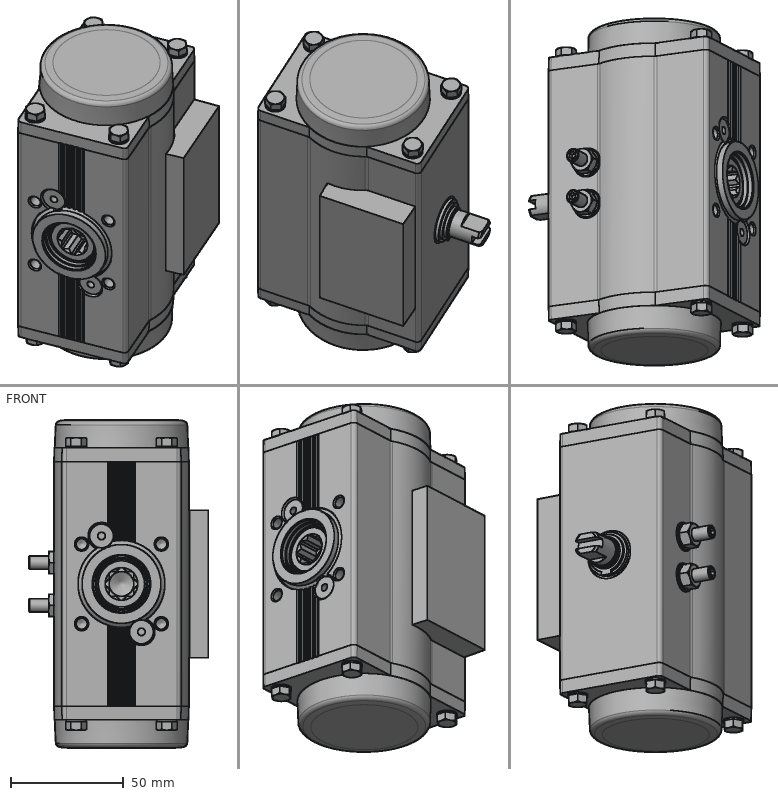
import cadquery as cq
import math


HOUSING_WIDTH = 53.0
HOUSING_DEPTH = 80.0
HOUSING_LENGTH = 108.6
CYLINDER_DIAMETER = 60.0
CORNER_RADIUS = 2.0
BLEND_RADIUS = 3.4

CAP_PLATE = 6.1
CAP_DRAFT = 1.5
DOME_BASE_RADIUS = 29.7
DOME_SHOULDER_RADIUS = 29.3
DOME_RIM_RADIUS = 27.3
DOME_FLAT_RADIUS = 23.8
DOME_SHOULDER_Z = 70.65
DOME_RIM_Z = 72.5
DOME_TOP_Z = 72.85

BOLT_X = 20.1
BOLT_Y = 33.7
BOLT_FLANGE_DIAMETER = 9.0
BOLT_FLANGE_HEIGHT = 0.8
BOLT_HEX_FLATS = 8.0
BOLT_HEX_HEIGHT = 3.7

RING_DIAMETER = 35.0
RING_HEIGHT = 3.0
RING_GROOVE_DIAMETER = 38.6
RING_GROOVE_DEPTH = 1.8
RING_BORE_DIAMETER = 25.0
RING_BORE_DEPTH = 2.5
SEAT_DIAMETER = 23.4
SEAT_DEPTH = 4.5
RING_BORE_CHAMFER = 0.5

MOUNT_SPACING = 50.0 / math.sqrt(2)
MOUNT_DIAMETER = 4.92
MOUNT_MOUTH_DIAMETER = 6.2
MOUNT_DEPTH = 10.0

PORT_X = 8.86
PORT_Z = 21.3
PORT_MOUTH_DIAMETER = 12.0
PORT_FLOOR_DIAMETER = 10.57
PORT_RECESS_DEPTH = 0.8
PORT_HOLE_DIAMETER = 3.3
PORT_HOLE_DEPTH = 8.0
DRILL_POINT_ANGLE = 118.0

GROOVE_COUNT = 5
GROOVE_PITCH = 2.6
GROOVE_STEP = GROOVE_PITCH / 4
GROOVE_DEPTH = 0.6

JOURNAL_DIAMETER = 22.0
NOSE_DIAMETER = 20.5
NOSE_LENGTH = 1.0
NOSE_RECESS = 4.0
DRIVE_FLATS = 11.0
DRIVE_CORNER_DIAMETER = 14.5
DRIVE_DEPTH = 12.0
DRIVE_MOUTH_DEPTH = (DRIVE_CORNER_DIAMETER - DRIVE_FLATS) / 2
DRIVE_DRILL_DIAMETER = 11.0
COLLAR_DIAMETER = 14.5
COLLAR_END_Y = 44.2
NECK_DIAMETER = 13.0
NECK_END_Y = 45.0
STEM_DIAMETER = 12.6
STEM_END_Y = 60.0
STEM_CHAMFER = 1.0
STEM_FLATS = 9.0
STEM_FLATS_START_Y = 50.1
SLOT_WIDTH = 4.0
SLOT_DEPTH = 3.8

THRUST_WASHER_DIAMETER = 20.0
THRUST_WASHER_THICKNESS = 1.6
CIRCLIP_DIAMETER = 17.3
CIRCLIP_THICKNESS = 1.2
CIRCLIP_GROOVE_DIAMETER = 13.0
CIRCLIP_LUG_WIDTH = 5.0

STOP_Y = 19.8
STOP_Z = 9.5
STOP_END_X = -41.2
STOP_DIAMETER = 6.0
STOP_CHAMFER = 0.5
STOP_SOCKET_FLATS = 3.0
STOP_SOCKET_DEPTH = 3.0
STOP_NUT_FLATS = 10.0
STOP_NUT_OUTER_X = -32.3
STOP_WASHER_DIAMETER = 13.0
STOP_WASHER_THICKNESS = 0.7
STOP_WASHER_CHAMFER = 0.4

BLOCK_OUTER_X = 38.57
BLOCK_MIN_Y = -3.5
BLOCK_MAX_Y = 38.0
BLOCK_LENGTH = 65.6
BLOCK_DRAFT = 1.5
BLOCK_CLEARANCE = 0.3

half_width = HOUSING_WIDTH / 2
front_y = -HOUSING_DEPTH / 2
back_y = HOUSING_DEPTH / 2
ring_end_y = front_y - RING_HEIGHT
bore_step_y = ring_end_y + RING_BORE_DEPTH
seat_floor_y = ring_end_y + SEAT_DEPTH
nose_y = ring_end_y + NOSE_RECESS
cylinder_radius = CYLINDER_DIAMETER / 2
cap_joint_z = HOUSING_LENGTH / 2
cap_face_z = cap_joint_z + CAP_PLATE
washer_end_y = back_y + THRUST_WASHER_THICKNESS
circlip_end_y = washer_end_y + CIRCLIP_THICKNESS


def disc_y(diameter, start_y, end_y, x=0, z=0):
    """Cylinder along Y between two Y positions."""
    plane = cq.Plane(origin=(x, start_y, z), xDir=(1, 0, 0), normal=(0, 1, 0))
    return cq.Workplane(plane).circle(diameter / 2).extrude(end_y - start_y)


def cone_y(start_diameter, end_diameter, start_y, end_y, x=0, z=0):
    """Cone or frustum along Y."""
    return cq.Workplane(cq.Solid.makeCone(
        start_diameter / 2, end_diameter / 2, end_y - start_y, cq.Vector(x, start_y, z), cq.Vector(0, 1, 0)))


def drill_y(diameter, start_y, depth, x=0, z=0):
    """Blind hole going in +Y, with a conical drill point."""
    point = diameter / 2 / math.tan(math.radians(DRILL_POINT_ANGLE / 2))
    end_y = start_y + depth
    hole = disc_y(diameter, start_y, end_y, x, z)
    return hole.union(cone_y(diameter, 0, end_y, end_y + point, x, z))


def hexagon(flats, height, rotation=0):
    """Hexagonal prism standing on Z = 0, with a corner on the X axis."""
    corner_diameter = flats / math.cos(math.radians(30))
    prism = cq.Workplane("XY").polygon(6, corner_diameter).extrude(height)
    return prism.rotate((0, 0, 0), (0, 0, 1), rotation)


def crowned_hexagon(flats, height, both_ends, rotation=0):
    """Hexagonal prism whose corners are turned off by a 30 degree cone."""
    corner_radius = flats / 2 / math.cos(math.radians(30))
    drop = (corner_radius - flats / 2) * math.tan(math.radians(30))
    outline = [(0, 0)]
    if both_ends:
        outline += [(flats / 2, 0), (corner_radius, drop)]
    else:
        outline += [(corner_radius, 0)]
    outline += [(corner_radius, height - drop), (flats / 2, height), (0, height)]
    envelope = cq.Workplane("XZ").polyline(outline).close().revolve(360, (0, 0), (0, 1))
    return hexagon(flats, height, rotation).intersect(envelope)


def profile_prism(start_z, length, draft=0):
    """Rectangle with rounded corners joined to the cylinder, narrowing upwards by the draft angle."""
    rounded = cq.Sketch().rect(HOUSING_WIDTH, HOUSING_DEPTH).vertices().fillet(CORNER_RADIUS)
    base = cq.Workplane("XY").workplane(offset=start_z)
    block = base.placeSketch(rounded).extrude(length, taper=draft)
    barrel = base.circle(cylinder_radius).extrude(length, taper=draft)
    return block.union(barrel)


def blend_edges(body):
    """Round the four inner edges between the cylinder and the flat sides."""
    edge_y = math.sqrt(cylinder_radius ** 2 - half_width ** 2)
    for side_x in (-half_width, half_width):
        for side_y in (-edge_y, edge_y):
            body = body.edges(cq.NearestToPointSelector((side_x, side_y, 0))).fillet(BLEND_RADIUS)
    return body


def front_grooves():
    """Trapezoidal grooves along the middle of the front face."""
    strip_start = -GROOVE_COUNT * GROOVE_PITCH / 2
    floor_y = front_y + GROOVE_DEPTH
    grooves = cq.Workplane("XY")
    for index in range(GROOVE_COUNT):
        start_x = strip_start + index * GROOVE_PITCH + GROOVE_STEP / 2
        groove = (
            cq.Workplane("XY").workplane(offset=-cap_joint_z)
            .moveTo(start_x, front_y)
            .lineTo(start_x + GROOVE_STEP, floor_y)
            .lineTo(start_x + 2 * GROOVE_STEP, floor_y)
            .lineTo(start_x + 3 * GROOVE_STEP, front_y)
            .close().extrude(HOUSING_LENGTH)
        )
        grooves = grooves.add(groove)
    return grooves


def make_housing():
    body = blend_edges(profile_prism(-cap_joint_z, HOUSING_LENGTH))
    for groove in front_grooves().vals():
        body = body.cut(cq.Workplane(groove))

    groove_floor_y = front_y + RING_GROOVE_DEPTH
    body = body.cut(disc_y(RING_GROOVE_DIAMETER, front_y, groove_floor_y))
    body = body.union(cone_y(RING_DIAMETER, RING_GROOVE_DIAMETER, front_y, groove_floor_y))
    body = body.union(disc_y(RING_DIAMETER, ring_end_y, front_y))
    body = body.cut(disc_y(RING_BORE_DIAMETER, ring_end_y, bore_step_y))
    body = body.cut(disc_y(SEAT_DIAMETER, bore_step_y, seat_floor_y))
    mouth_diameter = RING_BORE_DIAMETER + 2 * RING_BORE_CHAMFER
    body = body.cut(cone_y(mouth_diameter, RING_BORE_DIAMETER, ring_end_y, ring_end_y + RING_BORE_CHAMFER))
    body = body.cut(disc_y(JOURNAL_DIAMETER, seat_floor_y, back_y))

    mouth_depth = (MOUNT_MOUTH_DIAMETER - MOUNT_DIAMETER) / 2
    for x in (-MOUNT_SPACING / 2, MOUNT_SPACING / 2):
        for z in (-MOUNT_SPACING / 2, MOUNT_SPACING / 2):
            body = body.cut(drill_y(MOUNT_DIAMETER, front_y, MOUNT_DEPTH, x, z))
            body = body.cut(cone_y(MOUNT_MOUTH_DIAMETER, MOUNT_DIAMETER, front_y, front_y + mouth_depth, x, z))

    recess_y = front_y + PORT_RECESS_DEPTH
    for x, z in ((-PORT_X, PORT_Z), (PORT_X, -PORT_Z)):
        body = body.cut(cone_y(PORT_MOUTH_DIAMETER, PORT_FLOOR_DIAMETER, front_y, recess_y, x, z))
        body = body.union(disc_y(PORT_FLOOR_DIAMETER, recess_y, recess_y + RING_GROOVE_DEPTH, x, z))
        body = body.cut(disc_y(PORT_HOLE_DIAMETER, recess_y, recess_y + PORT_HOLE_DEPTH, x, z))
    return body


def make_top_cap():
    cap = profile_prism(cap_joint_z, CAP_PLATE, CAP_DRAFT)
    dome = (
        cq.Workplane("XZ")
        .moveTo(0, cap_face_z)
        .lineTo(0, DOME_TOP_Z)
        .lineTo(DOME_FLAT_RADIUS, DOME_TOP_Z)
        .tangentArcPoint((DOME_RIM_RADIUS, DOME_RIM_Z), relative=False)
        .tangentArcPoint((DOME_SHOULDER_RADIUS, DOME_SHOULDER_Z), relative=False)
        .lineTo(DOME_BASE_RADIUS, cap_face_z)
        .close().revolve(360, (0, 0), (0, 1))
    )
    cap = cap.union(dome)
    flange = cq.Workplane("XY").circle(BOLT_FLANGE_DIAMETER / 2).extrude(BOLT_FLANGE_HEIGHT)
    hex_part = crowned_hexagon(BOLT_HEX_FLATS, BOLT_HEX_HEIGHT, False)
    bolt_head = flange.union(hex_part.translate((0, 0, BOLT_FLANGE_HEIGHT)))
    for x in (-BOLT_X, BOLT_X):
        for y in (-BOLT_Y, BOLT_Y):
            cap = cap.union(bolt_head.translate((x, y, cap_face_z)))
    return cap


def drive_socket():
    """Double-square socket with its corners trimmed round, a conical mouth and a drill point at its end."""
    end_y = nose_y + DRIVE_DEPTH
    square = cq.Workplane("XY").box(DRIVE_FLATS, DRIVE_DEPTH, DRIVE_FLATS)
    star = square.union(square.rotate((0, 0, 0), (0, 1, 0), 45))
    star = star.translate((0, nose_y + DRIVE_DEPTH / 2, 0))
    star = star.intersect(disc_y(DRIVE_CORNER_DIAMETER, nose_y, end_y))
    mouth = cone_y(DRIVE_CORNER_DIAMETER, DRIVE_FLATS, nose_y, nose_y + DRIVE_MOUTH_DEPTH)
    return star.union(mouth).union(drill_y(DRIVE_DRILL_DIAMETER, nose_y, DRIVE_DEPTH))


def make_shaft():
    shaft = disc_y(NOSE_DIAMETER, nose_y, nose_y + NOSE_LENGTH)
    shaft = shaft.union(disc_y(JOURNAL_DIAMETER, nose_y + NOSE_LENGTH, back_y))
    shaft = shaft.union(disc_y(COLLAR_DIAMETER, back_y, washer_end_y))
    shaft = shaft.union(disc_y(CIRCLIP_GROOVE_DIAMETER, washer_end_y, circlip_end_y))
    shaft = shaft.union(disc_y(COLLAR_DIAMETER, circlip_end_y, COLLAR_END_Y))
    shaft = shaft.union(disc_y(NECK_DIAMETER, COLLAR_END_Y, NECK_END_Y))
    stem = disc_y(STEM_DIAMETER, NECK_END_Y, STEM_END_Y).faces(">Y").chamfer(STEM_CHAMFER)

    flats_length = STEM_END_Y - STEM_FLATS_START_Y
    for side in (-1, 1):
        cutter = cq.Workplane("XY").box(STEM_DIAMETER, flats_length, STEM_DIAMETER)
        offset_z = side * (STEM_FLATS + STEM_DIAMETER) / 2
        stem = stem.cut(cutter.translate((0, STEM_FLATS_START_Y + flats_length / 2, offset_z)))
    slot = cq.Workplane("XY").box(STEM_DIAMETER, SLOT_DEPTH, SLOT_WIDTH)
    stem = stem.cut(slot.translate((0, STEM_END_Y - SLOT_DEPTH / 2, 0)))
    return shaft.union(stem).cut(drive_socket())


def make_thrust_washer():
    washer = disc_y(THRUST_WASHER_DIAMETER, back_y, washer_end_y)
    return washer.cut(disc_y(COLLAR_DIAMETER, back_y, washer_end_y))


def make_circlip():
    """Ring in the shaft's groove, with a lug pointing to -Z."""
    lug_reach = THRUST_WASHER_DIAMETER / 2
    lug = cq.Workplane("XY").box(CIRCLIP_LUG_WIDTH, CIRCLIP_THICKNESS, lug_reach)
    lug = lug.translate((0, washer_end_y + CIRCLIP_THICKNESS / 2, -lug_reach / 2))
    ring = disc_y(CIRCLIP_DIAMETER, washer_end_y, circlip_end_y).union(lug)
    return ring.cut(disc_y(CIRCLIP_GROOVE_DIAMETER, washer_end_y, circlip_end_y))


def make_stop_screw(z, housing):
    """Built along +Z from the housing side, then laid along -X."""
    nut_end = -half_width - STOP_NUT_OUTER_X
    screw_end = -half_width - STOP_END_X
    nut_height = nut_end - STOP_WASHER_THICKNESS
    screw = cq.Workplane("XY").circle(STOP_DIAMETER / 2).extrude(screw_end).faces(">Z").chamfer(STOP_CHAMFER)
    socket = hexagon(STOP_SOCKET_FLATS, STOP_SOCKET_DEPTH)
    screw = screw.cut(socket.translate((0, 0, screw_end - STOP_SOCKET_DEPTH)))
    washer = cq.Workplane("XY").circle(STOP_WASHER_DIAMETER / 2).extrude(STOP_WASHER_THICKNESS)
    washer = washer.faces(">Z").chamfer(STOP_WASHER_CHAMFER)
    nut = crowned_hexagon(STOP_NUT_FLATS, nut_height, True, 90)
    stop = screw.union(washer).union(nut.translate((0, 0, STOP_WASHER_THICKNESS)))
    stop = stop.rotate((0, 0, 0), (0, 1, 0), -90).translate((-half_width, STOP_Y, z))
    return stop.cut(housing)


def make_side_block(housing):
    """Block tapered in Y, seated on the flat side and relieved around the cylinder."""
    rise = math.tan(math.radians(BLOCK_DRAFT)) * (BLOCK_OUTER_X - half_width)
    block = (
        cq.Workplane("XY").workplane(offset=-BLOCK_LENGTH / 2)
        .moveTo(half_width, BLOCK_MIN_Y)
        .lineTo(BLOCK_OUTER_X, BLOCK_MIN_Y + rise)
        .lineTo(BLOCK_OUTER_X, BLOCK_MAX_Y - rise)
        .lineTo(half_width, BLOCK_MAX_Y)
        .close().extrude(BLOCK_LENGTH)
    )
    relief_radius = cylinder_radius + BLOCK_CLEARANCE
    relief = cq.Workplane("XY").circle(relief_radius).extrude(BLOCK_LENGTH / 2, both=True)
    return block.cut(relief).cut(housing)


housing = make_housing()
top_cap = make_top_cap()
bottom_cap = top_cap.mirror("XY")
shaft = make_shaft()
thrust_washer = make_thrust_washer()
circlip = make_circlip()
stop_screws = [make_stop_screw(z, housing) for z in (-STOP_Z, STOP_Z)]
side_block = make_side_block(housing)

result = cq.Compound.makeCompound([
    housing.val(),
    top_cap.val(),
    bottom_cap.val(),
    shaft.val(),
    thrust_washer.val(),
    circlip.val(),
    *[stop.val() for stop in stop_screws],
    side_block.val(),
])